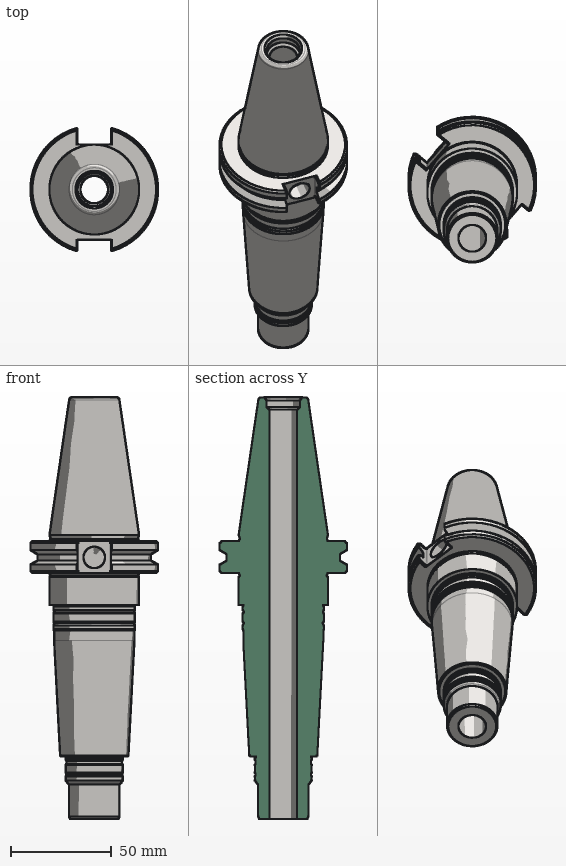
import cadquery as cq
import math

TOTAL_LENGTH = 209.2

NOSE_D = 25.0
NOSE_CHAMFER_H = 1.3
NOSE_CHAMFER_W = 0.6
NOSE_TOP = 17.2

COLLAR_D = 28.5
COLLAR_FOOT_D = 26.8
COLLAR_FOOT_Z = 18.0
COLLAR_BOTTOM = 19.2
COLLAR_TOP = 31.0
COLLAR_TOP_CHAMFER = 0.6
COLLAR_GROOVE_D = 27.6
COLLAR_GROOVE_FLANK_H = 0.6
COLLAR_GROOVES = [(21.1, 1.9), (26.8, 2.7)]

BODY_D = 40.0
BODY_TAPER_ANGLE = 3.0
BODY_FOOT_CHAMFER = 0.6
BODY_TAPER_TOP = 88.5
BODY_TOP = 93.5

RING_D = 40.5
RING_FOOT_H = 0.6
RING_TOP = 106.0
RING_TOP_CHAMFER = 0.6
RING_GROOVE_D = 39.3
RING_GROOVES = [(96.0, 97.3, 97.9), (101.9, 102.5, 103.7)]

SHOULDER_D = 44.5
UNDERCUT_D = 43.3
SHOULDER_TOP = 120.0
LOWER_UNDERCUT_Z = 120.7

FLANGE_D = 63.4
FLANGE_BOTTOM = 122.0
FLANGE_TOP = 137.8
FLANGE_CHAMFER = 1.0
GRIP_D = 56.5
GRIP_Z = 129.7
GRIP_ROOT_W = 3.1
GRIP_FLANK_ANGLE = 30.0

TAPER_D = SHOULDER_D
TAPER_RATIO = 7 / 24
GAUGE_Z = 140.8
UPPER_UNDERCUT_Z = 138.9
TIP_ROUND_R = 1.7

BORE_D = 13.5
COUNTERBORE_D = 16.5
COUNTERBORE_DEPTH = 6.3
COUNTERBORE_CHAMFER_W = 1.0
COUNTERBORE_CHAMFER_H = 1.7

SLOT_W = 16.5
SLOT_EDGE_CHAMFER = 0.6
SLOT_CORNER_R = 0.5
EDGE_MARGIN = 0.2
FRONT_SLOT_FLOOR = 24.9
BACK_SLOT_FLOOR = 22.4

HOLE_D = 10.7
HOLE_DEPTH = 8.4
HOLE_POINT_ANGLE = 140.0


def groove_flank_height():
    """Height of one sloping flank of the gripper groove."""
    return (FLANGE_D - GRIP_D) / 2 * math.tan(math.radians(GRIP_FLANK_ANGLE))


def body_profile():
    """Half outline of the turned body as (radius, height) points, bottom to top."""
    points = []

    def add(diameter, z):
        points.append((diameter / 2, z))

    add(NOSE_D - 2 * NOSE_CHAMFER_W, 0)
    add(NOSE_D, NOSE_CHAMFER_H)
    add(NOSE_D, NOSE_TOP)

    add(COLLAR_FOOT_D, COLLAR_FOOT_Z)
    add(COLLAR_D, COLLAR_BOTTOM)
    for bottom, width in COLLAR_GROOVES:
        add(COLLAR_D, bottom)
        add(COLLAR_GROOVE_D, bottom + COLLAR_GROOVE_FLANK_H)
        add(COLLAR_GROOVE_D, bottom + width - COLLAR_GROOVE_FLANK_H)
        add(COLLAR_D, bottom + width)
    add(COLLAR_D, COLLAR_TOP - COLLAR_TOP_CHAMFER)
    add(COLLAR_D - 2 * COLLAR_TOP_CHAMFER, COLLAR_TOP)

    taper_bottom = COLLAR_TOP + BODY_FOOT_CHAMFER
    taper_height = BODY_TAPER_TOP - taper_bottom
    foot_d = BODY_D - 2 * taper_height * math.tan(math.radians(BODY_TAPER_ANGLE))
    add(foot_d - 2 * BODY_FOOT_CHAMFER, COLLAR_TOP)
    add(foot_d, taper_bottom)
    add(BODY_D, BODY_TAPER_TOP)
    add(BODY_D, BODY_TOP)

    add(RING_D, BODY_TOP + RING_FOOT_H)
    for lower, root, upper in RING_GROOVES:
        add(RING_D, lower)
        add(RING_GROOVE_D, root)
        add(RING_D, upper)
    add(RING_D, RING_TOP - RING_TOP_CHAMFER)
    add(RING_D - 2 * RING_TOP_CHAMFER, RING_TOP)

    add(SHOULDER_D, RING_TOP)
    add(SHOULDER_D, SHOULDER_TOP)
    add(UNDERCUT_D, LOWER_UNDERCUT_Z)
    add(SHOULDER_D, FLANGE_BOTTOM)

    flank_h = groove_flank_height()
    root_half = GRIP_ROOT_W / 2
    add(FLANGE_D - 2 * FLANGE_CHAMFER, FLANGE_BOTTOM)
    add(FLANGE_D, FLANGE_BOTTOM + FLANGE_CHAMFER)
    add(FLANGE_D, GRIP_Z - root_half - flank_h)
    add(GRIP_D, GRIP_Z - root_half)
    add(GRIP_D, GRIP_Z + root_half)
    add(FLANGE_D, GRIP_Z + root_half + flank_h)
    add(FLANGE_D, FLANGE_TOP - FLANGE_CHAMFER)
    add(FLANGE_D - 2 * FLANGE_CHAMFER, FLANGE_TOP)

    tip_d = TAPER_D - (TOTAL_LENGTH - GAUGE_Z) * TAPER_RATIO
    add(SHOULDER_D, FLANGE_TOP)
    add(UNDERCUT_D, UPPER_UNDERCUT_Z)
    add(TAPER_D, GAUGE_Z)
    add(tip_d, TOTAL_LENGTH)
    return points


def make_body():
    outline = [(0, 0)] + body_profile() + [(0, TOTAL_LENGTH)]
    body = cq.Workplane("XZ").polyline(outline).close().revolve(360, (0, 0), (0, 1))
    return body.faces(">Z").edges().fillet(TIP_ROUND_R)


def make_bore():
    """Through bore with a chamfered counterbore and a 45 degree step at the shank end."""
    bore_r = BORE_D / 2
    counter_r = COUNTERBORE_D / 2
    step_h = counter_r - bore_r
    outline = [
        (0, 0),
        (bore_r, 0),
        (bore_r, TOTAL_LENGTH - COUNTERBORE_DEPTH),
        (counter_r, TOTAL_LENGTH - COUNTERBORE_DEPTH + step_h),
        (counter_r, TOTAL_LENGTH - COUNTERBORE_CHAMFER_H),
        (counter_r + COUNTERBORE_CHAMFER_W, TOTAL_LENGTH),
        (0, TOTAL_LENGTH),
    ]
    return cq.Workplane("XZ").polyline(outline).close().revolve(360, (0, 0), (0, 1))


def make_slot(floor_y, side):
    """Drive slot across the flange on one side (side is -1 for front, +1 for back)."""
    depth = FLANGE_D / 2
    return (
        cq.Workplane("XY", origin=(0, 0, FLANGE_BOTTOM))
        .center(0, side * (floor_y + depth / 2))
        .rect(SLOT_W, depth)
        .extrude(FLANGE_TOP - FLANGE_BOTTOM)
    )


def make_blind_hole():
    """Blind hole with a drill point, entering the front slot floor along +Y."""
    radius = HOLE_D / 2
    point_h = radius / math.tan(math.radians(HOLE_POINT_ANGLE / 2))
    inward = cq.Vector(0, 1, 0)
    mouth = cq.Vector(0, -FRONT_SLOT_FLOOR, GRIP_Z)
    shaft = cq.Solid.makeCylinder(radius, HOLE_DEPTH, pnt=mouth, dir=inward)
    point = cq.Solid.makeCone(radius, 0, point_h, pnt=mouth + inward * HOLE_DEPTH, dir=inward)
    return cq.Workplane(obj=shaft).union(cq.Workplane(obj=point))


def chamfer_slot_walls(part, floor_y, side):
    """Break the slot wall edges at the rim and the flange faces, not inside the gripper groove."""
    wall_start = floor_y + EDGE_MARGIN
    half_groove = GRIP_ROOT_W / 2 + groove_flank_height()
    for bottom, top in [
        (FLANGE_BOTTOM, GRIP_Z - half_groove),
        (GRIP_Z + half_groove, FLANGE_TOP),
    ]:
        land = cq.selectors.BoxSelector(
            (-SLOT_W, side * wall_start, bottom - EDGE_MARGIN),
            (SLOT_W, side * FLANGE_D, top + EDGE_MARGIN),
        )
        part = part.faces("|X").edges(land).chamfer(SLOT_EDGE_CHAMFER)
    return part


def round_slot_corners(part, floor_y, side):
    """Round the corners between the slot walls and the slot floor."""
    corner = cq.selectors.BoxSelector(
        (-SLOT_W, side * (floor_y - EDGE_MARGIN), FLANGE_BOTTOM - EDGE_MARGIN),
        (SLOT_W, side * (floor_y + EDGE_MARGIN), FLANGE_TOP + EDGE_MARGIN),
    )
    return part.faces("|X").edges("|Z").edges(corner).fillet(SLOT_CORNER_R)


result = (
    make_body()
    .cut(make_bore())
    .cut(make_slot(FRONT_SLOT_FLOOR, -1))
    .cut(make_slot(BACK_SLOT_FLOOR, 1))
    .cut(make_blind_hole())
)
for slot_floor, slot_side in [(FRONT_SLOT_FLOOR, -1), (BACK_SLOT_FLOOR, 1)]:
    result = chamfer_slot_walls(result, slot_floor, slot_side)
    result = round_slot_corners(result, slot_floor, slot_side)